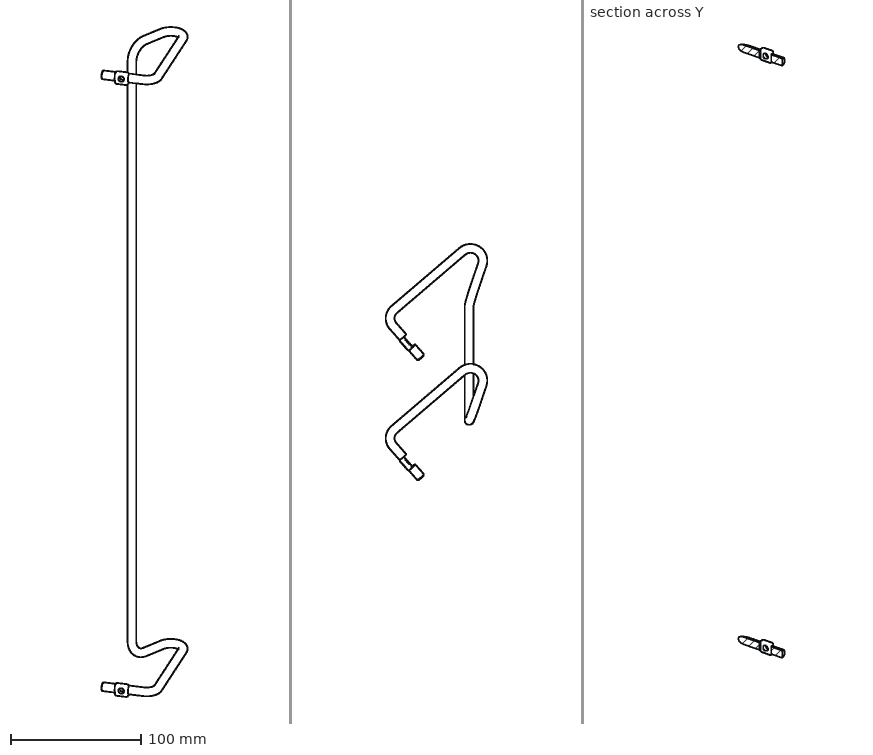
import cadquery as cq
import math

width = 45.5
depth = 95.0
height = 533.0

rod_diameter = 7.0
rod_radius = rod_diameter / 2
foot_bend_radius = 9.0
hook_bend_radius = 9.5
grip_bend_radius = 14.0
hook_angle = 59.5
hook_straight = 18.0
end_chamfer = 0.5

eyelet_width = 10.5
eyelet_height = 10.0
eyelet_thickness = 3.5
eyelet_corner_radius = 1.5
eyelet_edge_fillet = 1.0
eyelet_hole_diameter = 4.5
eyelet_x = 16.0

up = cq.Vector(0, 0, 1)
diagonal = math.sin(math.pi / 4)
slope = math.radians(hook_angle)
hook_direction = cq.Vector(-math.cos(slope), -math.sin(slope))

arm_z = (height - eyelet_height) / 2
arm_x = width - rod_radius
foot_y = rod_radius
hook_center = cq.Vector(
    arm_x - hook_bend_radius, depth - rod_radius - hook_bend_radius, arm_z
)


def hook_arc_point(angle):
    """Point on the hook bend at an angle from +X, seen along Z."""
    offset = cq.Vector(math.cos(angle), math.sin(angle)) * hook_bend_radius
    return hook_center + offset


def arm_path():
    """Centre line of the upper arm, from the end of its foot to the start of the grip."""
    foot_end = cq.Vector(0, foot_y, arm_z)
    foot_bend_start = cq.Vector(arm_x - foot_bend_radius, foot_y, arm_z)
    foot_bend_center = foot_bend_start + cq.Vector(0, foot_bend_radius)
    foot_bend_middle = foot_bend_center + cq.Vector(diagonal, -diagonal) * foot_bend_radius
    arm_start = cq.Vector(arm_x, foot_y + foot_bend_radius, arm_z)
    arm_end = hook_arc_point(0)

    hook_sweep = math.pi / 2 + slope
    hook_bend_end = hook_arc_point(hook_sweep)

    grip_bend_start = hook_bend_end + hook_direction * hook_straight
    grip_bend_center = grip_bend_start - up * grip_bend_radius
    grip_bend_middle = grip_bend_center + (hook_direction + up) * (diagonal * grip_bend_radius)
    grip_start = grip_bend_center + hook_direction * grip_bend_radius

    edges = [
        cq.Edge.makeLine(foot_end, foot_bend_start),
        cq.Edge.makeThreePointArc(foot_bend_start, foot_bend_middle, arm_start),
        cq.Edge.makeLine(arm_start, arm_end),
        cq.Edge.makeThreePointArc(arm_end, hook_arc_point(hook_sweep / 2), hook_bend_end),
        cq.Edge.makeLine(hook_bend_end, grip_bend_start),
        cq.Edge.makeThreePointArc(grip_bend_start, grip_bend_middle, grip_start),
    ]
    return cq.Wire.assembleEdges(edges)


def eyelet():
    """Rounded flat plate with a hole through it along Y, in place on the upper foot."""
    front_plane = cq.Workplane("XZ", origin=(eyelet_x, 0, arm_z))
    plate = (
        front_plane.rect(eyelet_width, eyelet_height)
        .extrude(-eyelet_thickness)
        .edges("|Y")
        .fillet(eyelet_corner_radius)
        .faces("<Y or >Y")
        .edges()
        .fillet(eyelet_edge_fillet)
    )
    hole = front_plane.circle(eyelet_hole_diameter / 2).extrude(-eyelet_thickness)
    return plate.cut(hole)


def upper_arm(path):
    """Upper arm of the handle, with its rod cut away where the eyelet joins its two parts."""
    rod = (
        cq.Workplane("YZ", origin=(0, foot_y, arm_z))
        .circle(rod_radius)
        .sweep(cq.Workplane(path))
        .faces("<X")
        .chamfer(end_chamfer)
    )
    gap = cq.Workplane("XY").box(eyelet_width, rod_diameter, rod_diameter)
    rod = rod.cut(gap.translate((eyelet_x, foot_y, arm_z)))
    return rod.union(eyelet())


def grip(start):
    """Straight upright bar from the upper arm to its mirror image below."""
    return (
        cq.Workplane("XY", origin=(start.x, start.y, 0))
        .circle(rod_radius)
        .extrude(start.z, both=True)
    )


upper_path = arm_path()
arm = upper_arm(upper_path)
result = grip(upper_path.endPoint()).union(arm).union(arm.mirror("XY"))